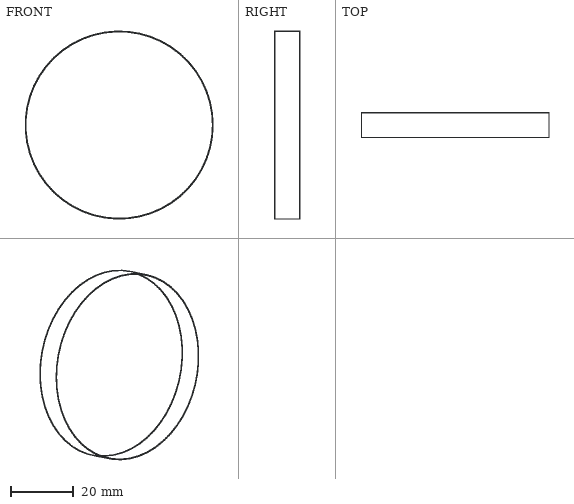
import cadquery as cq

outer_diameter = 59.95
wall_thickness = 0.25
band_width = 8.0

inner_diameter = outer_diameter - 2 * wall_thickness

result = (
    cq.Workplane("XZ", origin=(0, band_width / 2, 0))
    .circle(outer_diameter / 2)
    .circle(inner_diameter / 2)
    .extrude(band_width)
)